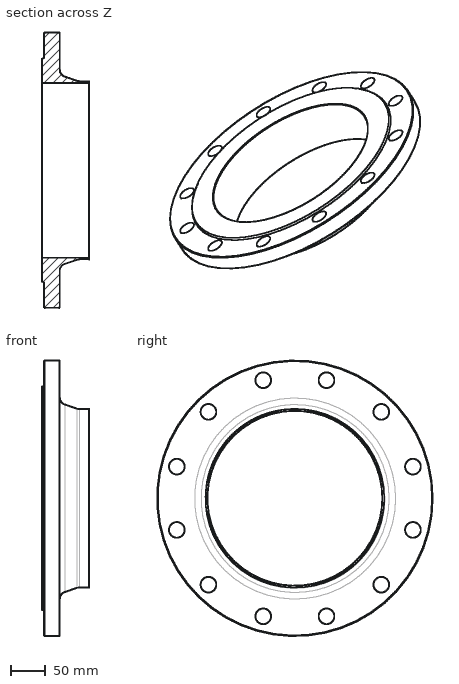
import cadquery as cq
import math

flange_diameter = 395.0
bore_diameter = 250.0
bore_chamfer = 1.0
pipe_diameter = 256.0
total_length = 68.0

face_height = 3.0
face_base_diameter = 322.5
face_rim_inset = 1.5

flange_back = 26.0
rim_chamfer = 1.0

neck_root_diameter = 273.7
neck_end = 51.7
neck_fillet = 10.0

bolt_count = 12
bolt_circle_diameter = 350.0
bolt_hole_diameter = 22.0


def disc(start, end, diameter):
    """Solid cylinder on the X axis between two X positions."""
    return cq.Workplane("YZ", origin=(start, 0, 0)).circle(diameter / 2).extrude(end - start)


def flange_plate():
    return disc(face_height, flange_back, flange_diameter).edges().chamfer(rim_chamfer)


def raised_face():
    """Disc that narrows from the flange towards the gasket face."""
    rim_taper = math.degrees(math.atan2(face_rim_inset, face_height))
    front_radius = face_base_diameter / 2 - face_rim_inset
    return cq.Workplane("YZ").circle(front_radius).extrude(face_height, taper=-rim_taper)


def neck():
    """Cone running from the flange into the straight pipe end."""
    root_radius = neck_root_diameter / 2
    pipe_radius = pipe_diameter / 2
    profile = [
        (face_height, 0),
        (face_height, root_radius),
        (flange_back, root_radius),
        (neck_end, pipe_radius),
        (total_length, pipe_radius),
        (total_length, 0),
    ]
    return cq.Workplane("XY").polyline(profile).close().revolve(360, (0, 0, 0), (1, 0, 0))


def is_neck_corner(edge):
    """True for the circles at the two ends of the cone."""
    corners = [(flange_back, neck_root_diameter / 2), (neck_end, pipe_diameter / 2)]
    tolerance = 0.005
    if edge.geomType() != "CIRCLE":
        return False
    x, radius = edge.arcCenter().x, edge.radius()
    return any(
        abs(x - corner_x) < tolerance and abs(radius - corner_radius) < tolerance
        for corner_x, corner_radius in corners
    )


def bolt_holes():
    """Evenly spaced holes straddling the Y and Z axes."""
    first_angle = 180 / bolt_count
    return (
        cq.Workplane("YZ")
        .polarArray(bolt_circle_diameter / 2, first_angle, 360, bolt_count)
        .circle(bolt_hole_diameter / 2)
        .extrude(flange_back)
    )


body = flange_plate().union(raised_face()).union(neck())
body = body.edges().filter(is_neck_corner).fillet(neck_fillet)
body = body.cut(disc(0, total_length, bore_diameter))
bore_mouth = cq.selectors.RadiusNthSelector(0)
body = body.faces("<X").edges("%CIRCLE").edges(bore_mouth).chamfer(bore_chamfer)
result = body.cut(bolt_holes())